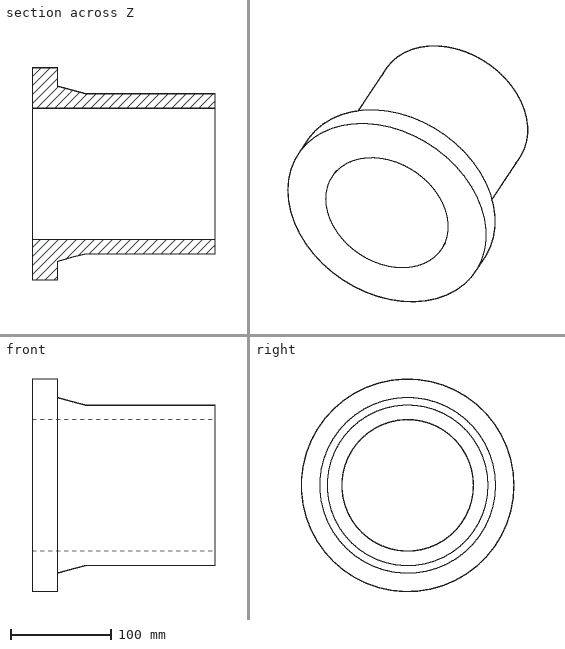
import cadquery as cq

total_length = 182.0
flange_diameter = 212.0
flange_thickness = 25.0
pipe_diameter = 160.0
bore_diameter = 130.8
neck_diameter = 175.1
neck_length = 28.0

flange_radius = flange_diameter / 2
pipe_radius = pipe_diameter / 2
bore_radius = bore_diameter / 2
neck_radius = neck_diameter / 2
neck_end = flange_thickness + neck_length

half_section = (
    cq.Workplane("XY")
    .moveTo(0, bore_radius)
    .lineTo(0, flange_radius)
    .lineTo(flange_thickness, flange_radius)
    .lineTo(flange_thickness, neck_radius)
    .lineTo(neck_end, pipe_radius)
    .lineTo(total_length, pipe_radius)
    .lineTo(total_length, bore_radius)
    .close()
)

result = half_section.revolve(360, (0, 0, 0), (1, 0, 0)).translate((-total_length / 2, 0, 0))